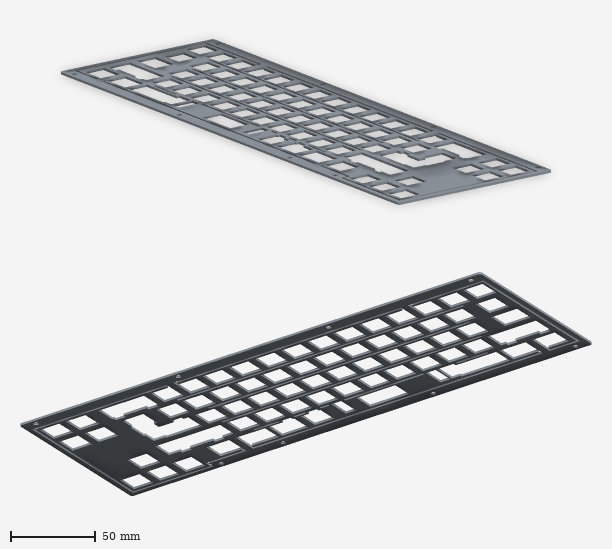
import cadquery as cq

LENGTH = 337
WIDTH = 113.3
THICKNESS = 1.5
CORNER_RADIUS = 1.7

FIELD_LENGTH = 328.5
FIELD_LEFT = -FIELD_LENGTH / 2
FIELD_UNITS = 17.25
PITCH = FIELD_LENGTH / FIELD_UNITS
WEB = 5.0
SWITCH = PITCH - WEB
HALF_SWITCH = SWITCH / 2

BOTTOM_ROW_KEYS = [
    (0.625, 0.75),
    (1.75, 2),
    (2.875, 4),
    (6.75, 7.5),
    (9.625, 9.625),
    (10.625, 10.875),
    (11.75, 12.125),
    (13.125, 13.25),
]

STAB_WIDTH = 7.0
STAB_LONG_END = 9.0
STAB_SHORT_END = 5.7
STAB_SPACING_2U = 24.0
STAB_SPACING_6U = 69.0
STAB_SPACING_6_25U = 100.0
STAB_SPACING_7U = 6 * PITCH

SLOT = 1.52
INNER_SLOT_Y = PITCH / 2
OUTER_SLOT_Y = 29.0
ROW_SLOTS = [
    (-136.2, 73.0, OUTER_SLOT_Y),
    (-126.7, 64.0, INNER_SLOT_Y),
    (-121.7, 68.0, -INNER_SLOT_Y),
]
LOWEST_SLOT_SPANS = [(-112.0, -89.3), (-65.0, -7.0), (4.5, 10.5), (21.5, 29.5), (40.8, 59.0)]
FRAME_RIGHT = FIELD_LENGTH / 2
FRAME_LEFT = -FRAME_RIGHT
FRAME_TOP = 48.0
FRAME_BOTTOM = -FRAME_TOP
ARROW_FRAME_LEFT = 107.0
ARROW_FRAME_BOTTOM = -52.5

SCREW_DIAMETER = 3.5
SCREW_Y = 53.0
SCREW_X_OUTER = 159.0
SCREW_X_INNER = 55.0
SCREW_X_ARROWS = 100.0
SCREW_X_TOP = [-SCREW_X_OUTER, -SCREW_X_INNER, SCREW_X_INNER, SCREW_X_OUTER]
SCREW_X_BOTTOM = [-SCREW_X_OUTER, -SCREW_X_INNER, SCREW_X_INNER, SCREW_X_ARROWS]


def column(units):
    """X of a key centre, in key units from the left edge of the field."""
    return FIELD_LEFT + units * PITCH


def row(units):
    """Y of a key centre, in key units above the middle row."""
    return units * PITCH


def opening(x_min, x_max, y_min, y_max):
    """Rectangular cutter through the plate."""
    return cq.Workplane("XY").box(
        x_max - x_min, y_max - y_min, THICKNESS, centered=False
    ).translate((x_min, y_min, -THICKNESS / 2))


def key(first, y_units, last=None):
    """Switch opening, stretched to serve every key position from first to last."""
    last = first if last is None else last
    y = row(y_units)
    return opening(column(first) - HALF_SWITCH, column(last) + HALF_SWITCH, y - HALF_SWITCH, y + HALF_SWITCH)


def key_run(first, count, y_units):
    """Row of single switch openings, one key unit apart."""
    return [key(first + i, y_units) for i in range(count)]


def stab_pair(center, y_units, spacing, long_end_up):
    """Two stabiliser openings either side of a wide key."""
    y = row(y_units)
    up, down = (STAB_LONG_END, STAB_SHORT_END) if long_end_up else (STAB_SHORT_END, STAB_LONG_END)
    middles = [column(center) - spacing / 2, column(center) + spacing / 2]
    return [opening(x - STAB_WIDTH / 2, x + STAB_WIDTH / 2, y - down, y + up) for x in middles]


def slot_x(x_min, x_max, y):
    """Slot along X, centred on y."""
    return opening(x_min, x_max, y - SLOT / 2, y + SLOT / 2)


def slot_y(x, y_min, y_max):
    """Slot along Y, centred on x."""
    return opening(x - SLOT / 2, x + SLOT / 2, y_min, y_max)


def switch_openings():
    number_row = key_run(0.5, 13, 2) + [key(13.5, 2, 14.5)]
    upper_row = [key(0.75, 1)] + key_run(2, 12, 1)
    home_row = [key(0.625, 0, 0.875)] + key_run(2.25, 11, 0)
    shift_row = [key(0.625, -1, 1.75)] + key_run(2.75, 10, -1) + [key(12.75, -1, 14.5)]
    bottom_row = [key(first, -2, last) for first, last in BOTTOM_ROW_KEYS]
    side_keys = key_run(15.75, 2, 2) + key_run(15.75, 2, 1)
    arrow_keys = [key(15.75, -1.25)] + key_run(14.75, 3, -2.25)
    return number_row + upper_row + home_row + shift_row + bottom_row + side_keys + arrow_keys


def stabiliser_openings():
    backspace = stab_pair(14, 2, STAB_SPACING_2U, False)
    left_shift = stab_pair(1.125, -1, STAB_SPACING_2U, False)
    right_shift = stab_pair(13.625, -1, STAB_SPACING_2U, False)
    space_bars = (
        stab_pair(6.75, -2, STAB_SPACING_6U, True)
        + stab_pair(6.875, -2, STAB_SPACING_6_25U, True)
        + stab_pair(7.5, -2, STAB_SPACING_7U, True)
    )
    left_join = opening(
        column(6.875) - STAB_SPACING_6_25U / 2,
        column(7.5) - STAB_SPACING_7U / 2,
        row(-2) - STAB_SHORT_END,
        row(-2) + STAB_LONG_END,
    )
    return backspace + left_shift + right_shift + space_bars + [left_join]


def enter_opening():
    """One opening for a flat enter key, a tall enter key and the key above the flat one."""
    tall_x = column(14.375)
    tall_y = row(0.5)
    stab_reach = STAB_SPACING_2U / 2 + STAB_WIDTH / 2
    tall_stab = opening(
        tall_x - HALF_SWITCH, tall_x + STAB_SHORT_END, tall_y - stab_reach, tall_y + stab_reach
    )
    return [
        key(13.25, 0, 13.875),
        key(14.25, 1),
        key(14.375, 0.5),
        tall_stab,
    ] + stab_pair(13.875, 0, STAB_SPACING_2U, True)


def row_slots():
    """Slots between the key rows; the lowest one is interrupted by the stabiliser openings."""
    return [slot_x(x_min, x_max, y) for x_min, x_max, y in ROW_SLOTS] + [
        slot_x(x_min, x_max, -OUTER_SLOT_Y) for x_min, x_max in LOWEST_SLOT_SPANS
    ]


def tab_edges(left_key, right_key):
    """Left and right side of a tab that fills the gap between two neighbouring key openings."""
    return column(left_key) + HALF_SWITCH, column(right_key) - HALF_SWITCH


def side_slots(x_min, x_max, y, tabs):
    """Slots along one long side of the field, left out where the tabs are."""
    starts = [x_min] + [right for _, right in tabs]
    ends = [left for left, _ in tabs] + [x_max]
    return [slot_x(start, end, y) for start, end in zip(starts, ends)]


def frame_slots():
    """Slot around the key field, broken by four tabs where its ends turn into a key opening."""
    half = SLOT / 2
    top_tabs = [tab_edges(2.5, 3.5), tab_edges(11.5, 12.5)]
    bottom_tabs = [tab_edges(0.75, 1.75), tab_edges(12.125, 13.125)]
    slots = [
        slot_y(FRAME_LEFT, FRAME_BOTTOM, FRAME_TOP),
        slot_y(FRAME_RIGHT, ARROW_FRAME_BOTTOM, FRAME_TOP),
        slot_y(ARROW_FRAME_LEFT, ARROW_FRAME_BOTTOM, FRAME_BOTTOM),
        slot_x(ARROW_FRAME_LEFT - half, FRAME_RIGHT + half, ARROW_FRAME_BOTTOM),
    ]
    slots += side_slots(FRAME_LEFT - half, FRAME_RIGHT + half, FRAME_TOP, top_tabs)
    slots += side_slots(FRAME_LEFT - half, ARROW_FRAME_LEFT + half, FRAME_BOTTOM, bottom_tabs)
    for left_end, right_end in top_tabs:
        slots.append(slot_y(left_end - half, row(2), FRAME_TOP))
        slots.append(slot_y(right_end + half, row(2), FRAME_TOP))
    for left_end, right_end in bottom_tabs:
        slots.append(slot_y(left_end - half, FRAME_BOTTOM, row(-2)))
        slots.append(slot_y(right_end + half, FRAME_BOTTOM, row(-2)))
    return slots


plate = cq.Workplane("XY").box(LENGTH, WIDTH, THICKNESS).edges("|Z").fillet(CORNER_RADIUS)
screw_points = [(x, SCREW_Y) for x in SCREW_X_TOP] + [(x, -SCREW_Y) for x in SCREW_X_BOTTOM]
plate = plate.faces(">Z").workplane().pushPoints(screw_points).hole(SCREW_DIAMETER)

cutters = switch_openings() + stabiliser_openings() + enter_opening() + row_slots() + frame_slots()
result = plate.cut(cq.Workplane("XY").newObject([cutter.val() for cutter in cutters]).combine())